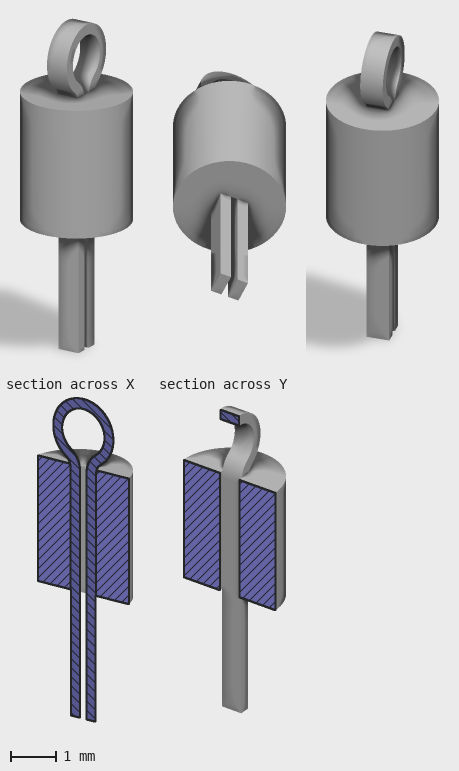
import cadquery as cq
import math

body_diameter = 2.5
body_height = 3.0

strip_thickness = 0.25
strip_width = 0.52
leg_gap = 0.16
leg_length = 3.0
eye_rise = 1.62
eye_outer_radius = 0.81
neck_inner_radius = 0.34

eye_inner_radius = eye_outer_radius - strip_thickness
neck_outer_radius = neck_inner_radius + strip_thickness
eye_center_z = body_height + eye_rise - eye_outer_radius
center_distance = eye_outer_radius + neck_inner_radius
leg_inner_y = leg_gap / 2
leg_outer_y = leg_inner_y + strip_thickness
neck_center_y = leg_outer_y + neck_inner_radius
neck_drop = math.sqrt(center_distance**2 - neck_center_y**2)
neck_center_z = eye_center_z - neck_drop
joint_angle = math.atan2(neck_drop, neck_center_y)


def eye_point(radius, side):
    """Point where the eye circle of this radius meets the neck on one side."""
    y = side * radius * math.cos(joint_angle)
    z = eye_center_z - radius * math.sin(joint_angle)
    return (y, z)


def neck_middle(radius, side):
    """Point halfway along the neck arc of this radius on one side."""
    half_angle = joint_angle / 2
    y = side * (neck_center_y - radius * math.cos(half_angle))
    z = neck_center_z + radius * math.sin(half_angle)
    return (y, z)


def make_wire_loop():
    """One continuous strip: leg, neck, eye, neck, leg."""
    outline = (
        cq.Workplane("YZ", origin=(-strip_width / 2, 0, 0))
        .moveTo(leg_outer_y, -leg_length)
        .lineTo(leg_outer_y, neck_center_z)
        .threePointArc(neck_middle(neck_inner_radius, 1), eye_point(eye_outer_radius, 1))
        .threePointArc((0, eye_center_z + eye_outer_radius), eye_point(eye_outer_radius, -1))
        .threePointArc(neck_middle(neck_inner_radius, -1), (-leg_outer_y, neck_center_z))
        .lineTo(-leg_outer_y, -leg_length)
        .lineTo(-leg_inner_y, -leg_length)
        .lineTo(-leg_inner_y, neck_center_z)
        .threePointArc(neck_middle(neck_outer_radius, -1), eye_point(eye_inner_radius, -1))
        .threePointArc((0, eye_center_z + eye_inner_radius), eye_point(eye_inner_radius, 1))
        .threePointArc(neck_middle(neck_outer_radius, 1), (leg_inner_y, neck_center_z))
        .lineTo(leg_inner_y, -leg_length)
        .close()
    )
    return outline.extrude(strip_width)


def make_body(wire_loop):
    """Cylinder with a through slot that takes both legs and leaves the gap between them open."""
    cylinder = cq.Workplane("XY").circle(body_diameter / 2).extrude(body_height)
    leg_slot = cq.Workplane("XY").rect(strip_width, 2 * leg_outer_y).extrude(body_height)
    return cylinder.cut(leg_slot).cut(wire_loop)


wire_loop = make_wire_loop()
body = make_body(wire_loop)

result = cq.Compound.makeCompound([body.solids().val(), wire_loop.val()])